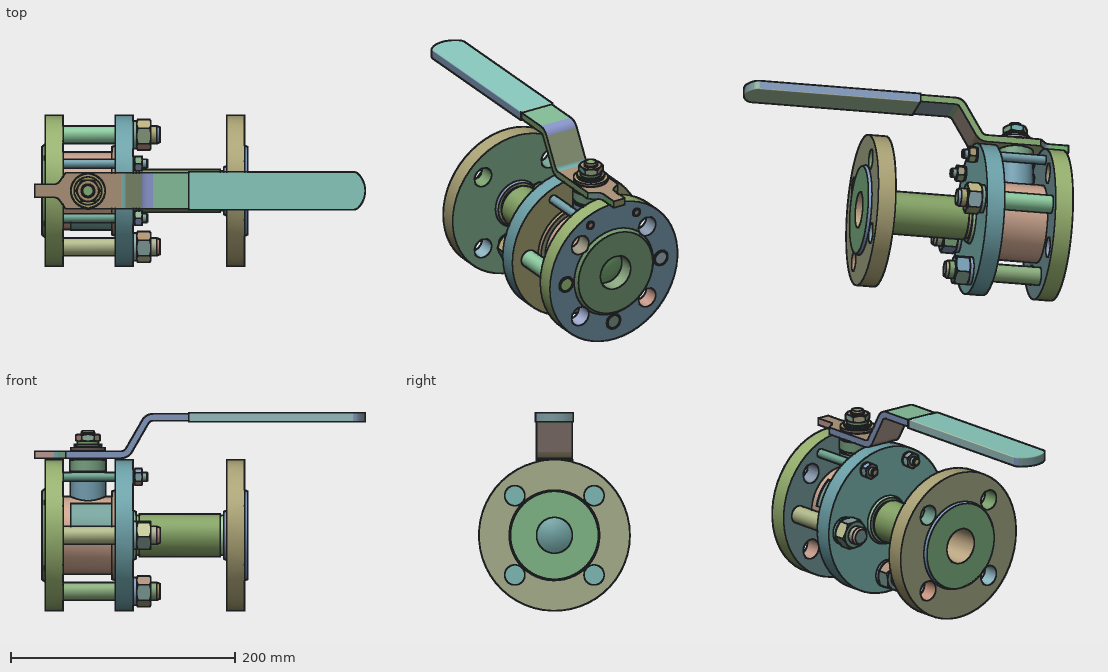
import cadquery as cq
import math


flange_radius = 67.5
flange_thickness = 16.0
raised_face_height = 3.0
left_flange_x = -38.2
middle_flange_x = 24.3
right_flange_x = 123.7
left_face_root_radius = 41.8
face_root_radius = 40.4
face_rim_radius = 39.2
flange_hole_radius = 9.0
bolt_circle_radius = 50.0

bore_radius = 16.0
ball_radius = 31.0
body_radius = 34.8
pipe_radius = 19.2
hub_root_radius = 22.3
hub_tip_radius = 20.9
hub_length = 2.7
neck_radius = 18.0
neck_length = 2.9
neck_step = 0.4

plate_thickness = 0.8
plate_start_x = -15.3
plate_low_angle = 10.6
plate_high_angle = 53.5

large_stud = dict(
    radius=8.0, tip_x=64.3, tip_chamfer_length=2.7, tip_chamfer=1.3,
    washer_radius=12.5, washer_thickness=3.2, nut_flats=24.0, nut_height=12.7,
    groove_radius=7.2, groove_width=1.1,
)
small_stud = dict(
    radius=4.0, tip_x=53.5, tip_chamfer_length=1.2, tip_chamfer=1.0,
    washer_radius=6.4, washer_thickness=1.4, nut_flats=13.0, nut_height=6.7,
    groove_radius=3.8, groove_width=1.0,
)
large_stud_angles = (0.0, 180.0, 270.0)
large_nut_turn = 5.0
small_stud_circle_radius = 57.5
small_stud_angles = (65.0, 115.0)
small_nut_corner_angle = 90.0

lever_width = 32.0
lever_thickness = 6.4
lever_low_z = 68.7
lever_high_z = 102.1
lever_start_x = -47.5
lever_bend_x = 29.5
lever_bend_angle = 60.0
lever_inner_bend = 5.0
tab_width = 11.8
tab_end_x = -27.0
shoulder_x = -20.0
tab_fillet = 6.0

grip_wall = 1.0
grip_start_x = 90.0
grip_end_x = 247.5
grip_nose_radius = 21.5
grip_corner_fillet = 6.5
grip_edge_fillet = 0.6

boss_radius = 16.0
collar_radius = 16.3
collar_groove_radius = 15.4
collar_bottom_z = 57.2
collar_groove_z = 55.0
collar_top_z = 67.2
spacer_radius = 12.8
washer_radius = 15.4
washer_edge_radius = 14.8
washer_edge_height = 0.9
washer_top_z = 78.2
disc_spring_base_radius = 11.6
disc_spring_rim_radius = 12.4
disc_spring_rim_z = 79.6
disc_spring_top_z = 81.2
spring_washer_radius = 9.6
stem_nut_z = 84.0
stem_nut_height = 6.0
stem_nut_flats = 19.0
stem_radius = 6.0
stem_tip_z = 93.4
stem_tip_chamfer_z = 91.5
stem_tip_radius = 4.9

nut_chamfer_angle = 30.0

flange_face_x = left_flange_x + flange_thickness
nut_seat_x = middle_flange_x + flange_thickness
body_end_x = middle_flange_x - raised_face_height


def x_cylinder(start_x, end_x, radius):
    """Cylinder on the pipe axis."""
    return cq.Workplane("YZ", origin=(start_x, 0, 0)).circle(radius).extrude(end_x - start_x)


def x_cone(start_x, end_x, start_radius, end_radius):
    """Truncated cone on the pipe axis."""
    profile = [(start_x, 0), (start_x, start_radius), (end_x, end_radius), (end_x, 0)]
    return cq.Workplane("XY").polyline(profile).close().revolve(360, (0, 0, 0), (1, 0, 0))


def make_nut(flats, height):
    """Hexagon nut standing on the XY plane, a corner on +X, both ends chamfered."""
    corner_radius = flats / 2 / math.cos(math.radians(30))
    chamfer_drop = (corner_radius - flats / 2) * math.tan(math.radians(nut_chamfer_angle))
    hexagon = cq.Workplane("XY").polygon(6, 2 * corner_radius).extrude(height)
    envelope = [
        (0, 0),
        (flats / 2, 0),
        (corner_radius, chamfer_drop),
        (corner_radius, height - chamfer_drop),
        (flats / 2, height),
        (0, height),
    ]
    turned = cq.Workplane("XZ").polyline(envelope).close().revolve(360, (0, 0, 0), (0, 1, 0))
    return hexagon.intersect(turned)


def make_flange(start_x):
    return x_cylinder(start_x, start_x + flange_thickness, flange_radius)


def drill_flange(flange):
    """Four line-bolt holes on the diagonals, through flange and raised face."""
    bounds = flange.val().BoundingBox()
    holes = (
        cq.Workplane("YZ", origin=(bounds.xmin, 0, 0))
        .polarArray(bolt_circle_radius, 45, 360, 4)
        .circle(flange_hole_radius)
        .extrude(bounds.xlen)
    )
    return flange.cut(holes)


def make_left_flange():
    face = x_cone(
        left_flange_x - raised_face_height, left_flange_x, face_rim_radius, left_face_root_radius
    )
    return drill_flange(make_flange(left_flange_x).union(face))


def make_middle_flange():
    face = x_cone(body_end_x, middle_flange_x, face_rim_radius, face_root_radius)
    return make_flange(middle_flange_x).union(face)


def make_right_flange():
    face_x = right_flange_x + flange_thickness
    face = x_cone(face_x, face_x + raised_face_height, face_root_radius, face_rim_radius)
    return drill_flange(make_flange(right_flange_x).union(face))


def make_pipe():
    """Extension pipe with a stepped neck and a conical hub at both ends."""
    mid_x = (nut_seat_x + right_flange_x) / 2
    hub_x = nut_seat_x + hub_length
    pipe_x = hub_x + neck_length
    neck_mid_x = hub_x + neck_length / 2
    profile = [
        (nut_seat_x, 0),
        (nut_seat_x, hub_root_radius),
        (hub_x, hub_tip_radius),
        (hub_x, neck_radius),
        (neck_mid_x, neck_radius),
        (pipe_x, neck_radius - neck_step),
        (pipe_x, pipe_radius),
        (mid_x, pipe_radius),
        (mid_x, 0),
    ]
    half = cq.Workplane("XY").polyline(profile).close().revolve(360, (0, 0, 0), (1, 0, 0))
    return half.union(half.mirror("YZ", (mid_x, 0, 0)))


def make_body():
    body = x_cylinder(flange_face_x, body_end_x, body_radius)
    plate_radius = body_radius + plate_thickness
    sector = (
        cq.Workplane("XY")
        .moveTo(plate_start_x, 0)
        .rect(body_end_x - plate_start_x, plate_radius, centered=False)
        .revolve(plate_high_angle - plate_low_angle, (0, 0, 0), (1, 0, 0))
        .rotate((0, 0, 0), (1, 0, 0), 180 - plate_high_angle)
    )
    return body.union(sector)


def make_stud(size):
    """Stud along X from the left flange face, with washer and nut on the middle flange."""
    radius = size["radius"]
    chamfer_x = size["tip_x"] - size["tip_chamfer_length"]
    nut_x = nut_seat_x + size["washer_thickness"]
    shaft = x_cylinder(flange_face_x, chamfer_x, radius)
    tip = x_cone(chamfer_x, size["tip_x"], radius, radius - size["tip_chamfer"])
    washer = x_cylinder(nut_seat_x, nut_x, size["washer_radius"])
    nut = make_nut(size["nut_flats"], size["nut_height"])
    nut = nut.rotate((0, 0, 0), (0, 0, 1), 90).rotate((0, 0, 0), (0, 1, 0), 90)
    nut = nut.translate((nut_x, 0, 0))
    return shaft.union(tip).union(washer).union(nut)


def make_end_groove(size):
    """Chamfer gap around the stud end in the left flange face."""
    outer = size["groove_radius"]
    inner = outer - size["groove_width"]
    depth_x = left_flange_x + size["groove_width"]
    profile = [(left_flange_x, inner), (left_flange_x, outer), (depth_x, outer)]
    return cq.Workplane("XY").polyline(profile).close().revolve(360, (0, 0, 0), (1, 0, 0))


def place_on_circle(shape, circle_radius, angle, turn=0.0):
    """Turn a shape about its own axis, then carry it round the pipe axis from +Y."""
    turned = shape.rotate((0, 0, 0), (1, 0, 0), turn).translate((0, circle_radius, 0))
    return turned.rotate((0, 0, 0), (1, 0, 0), angle)


def make_stem_boss():
    profile = [
        (0, 0),
        (boss_radius, 0),
        (boss_radius, collar_groove_z),
        (collar_groove_radius, collar_groove_z),
        (collar_groove_radius, collar_bottom_z),
        (collar_radius, collar_bottom_z),
        (collar_radius, collar_top_z),
        (spacer_radius, collar_top_z),
        (spacer_radius, lever_low_z),
        (0, lever_low_z),
    ]
    return cq.Workplane("XZ").polyline(profile).close().revolve(360, (0, 0, 0), (0, 1, 0))


def make_stem():
    """Threaded stem with its washer, disc spring, spring washer and nut above the lever."""
    washer_z = lever_low_z + lever_thickness
    profile = [
        (0, lever_low_z),
        (washer_edge_radius, lever_low_z),
        (washer_edge_radius, washer_z),
        (washer_radius, washer_z + washer_edge_height),
        (washer_radius, washer_top_z),
        (disc_spring_base_radius, washer_top_z),
        (disc_spring_rim_radius, disc_spring_rim_z),
        (disc_spring_rim_radius, disc_spring_top_z),
        (spring_washer_radius, disc_spring_top_z),
        (spring_washer_radius, stem_nut_z),
        (stem_radius, stem_nut_z),
        (stem_radius, stem_tip_chamfer_z),
        (stem_tip_radius, stem_tip_z),
        (0, stem_tip_z),
    ]
    stem = cq.Workplane("XZ").polyline(profile).close().revolve(360, (0, 0, 0), (0, 1, 0))
    nut = make_nut(stem_nut_flats, stem_nut_height).translate((0, 0, stem_nut_z))
    return stem.union(nut)


def make_lever_bar():
    """Flat bar swept along its cranked centre line."""
    angle = math.radians(lever_bend_angle)
    bend_radius = lever_inner_bend + lever_thickness / 2
    bend_run = bend_radius * math.sin(angle)
    bend_rise = bend_radius * (1 - math.cos(angle))
    low_z = lever_low_z + lever_thickness / 2
    high_z = lever_high_z + lever_thickness / 2
    ramp_rise = high_z - low_z - 2 * bend_rise
    ramp_start = (lever_bend_x + bend_run, low_z + bend_rise)
    ramp_end = (ramp_start[0] + ramp_rise / math.tan(angle), high_z - bend_rise)
    path = (
        cq.Workplane("XZ")
        .moveTo(lever_start_x, low_z)
        .lineTo(lever_bend_x, low_z)
        .tangentArcPoint(ramp_start, relative=False)
        .lineTo(*ramp_end)
        .tangentArcPoint((ramp_end[0] + bend_run, high_z), relative=False)
        .lineTo(grip_start_x + grip_wall, high_z)
    )
    section = cq.Workplane("YZ", origin=(lever_start_x, 0, low_z)).rect(lever_width, lever_thickness)
    return section.sweep(path)


def make_tab_relief():
    """Waste beside the narrow pointer tab on the +Y side of the lever."""
    half_tab = tab_width / 2
    half_width = lever_width / 2
    outline = [
        (lever_start_x, half_tab),
        (tab_end_x, half_tab),
        (shoulder_x, half_width),
        (lever_start_x, half_width),
    ]
    relief = cq.Workplane("XY", origin=(0, 0, lever_low_z)).polyline(outline).close()
    relief = relief.extrude(lever_thickness)
    corner = cq.selectors.NearestToPointSelector((tab_end_x, half_tab, lever_low_z + lever_thickness / 2))
    return relief.edges("|Z").edges(corner).fillet(tab_fillet)


def make_grip():
    half_width = lever_width / 2 + grip_wall
    nose_length = grip_nose_radius - math.sqrt(grip_nose_radius**2 - half_width**2)
    corner_x = grip_end_x - nose_length
    grip = (
        cq.Workplane("XY", origin=(0, 0, lever_high_z - grip_wall))
        .moveTo(grip_start_x, -half_width)
        .lineTo(corner_x, -half_width)
        .threePointArc((grip_end_x, 0), (corner_x, half_width))
        .lineTo(grip_start_x, half_width)
        .close()
        .extrude(lever_thickness + 2 * grip_wall)
    )
    nose_corners = cq.selectors.BoxSelector(
        (corner_x - grip_wall, -lever_width, 0), (grip_end_x, lever_width, 2 * lever_high_z)
    )
    grip = grip.edges("|Z").edges(nose_corners).fillet(grip_corner_fillet)
    return grip.faces(">Z or <Z").edges().fillet(grip_edge_fillet)


def make_lever():
    relief = make_tab_relief()
    bar = make_lever_bar().cut(relief).cut(relief.mirror("XZ"))
    return bar.union(make_grip())


def make_passage(face_x):
    """Flow passage from an end face to the ball, which closes it off."""
    side = math.copysign(1, face_x)
    seat_angle = math.asin(bore_radius / ball_radius)
    arc_middle = (
        side * ball_radius * math.cos(seat_angle / 2),
        ball_radius * math.sin(seat_angle / 2),
    )
    return (
        cq.Workplane("XY")
        .moveTo(face_x, 0)
        .lineTo(face_x, bore_radius)
        .lineTo(side * ball_radius * math.cos(seat_angle), bore_radius)
        .threePointArc(arc_middle, (side * ball_radius, 0))
        .close()
        .revolve(360, (0, 0, 0), (1, 0, 0))
    )


valve = make_body().union(make_stem_boss())
valve = valve.union(make_middle_flange()).union(make_pipe())
valve = valve.union(make_left_flange()).union(make_right_flange())
valve = valve.cut(make_passage(left_flange_x - raised_face_height))
valve = valve.cut(make_passage(right_flange_x + flange_thickness + raised_face_height))

for stud_angle in large_stud_angles:
    stud = place_on_circle(make_stud(large_stud), bolt_circle_radius, stud_angle, large_nut_turn)
    groove = place_on_circle(make_end_groove(large_stud), bolt_circle_radius, stud_angle)
    valve = valve.union(stud).cut(groove)

for stud_angle in small_stud_angles:
    nut_turn = small_nut_corner_angle - stud_angle
    stud = place_on_circle(make_stud(small_stud), small_stud_circle_radius, stud_angle, nut_turn)
    groove = place_on_circle(make_end_groove(small_stud), small_stud_circle_radius, stud_angle)
    valve = valve.union(stud).cut(groove)

result = valve.union(make_lever()).union(make_stem())